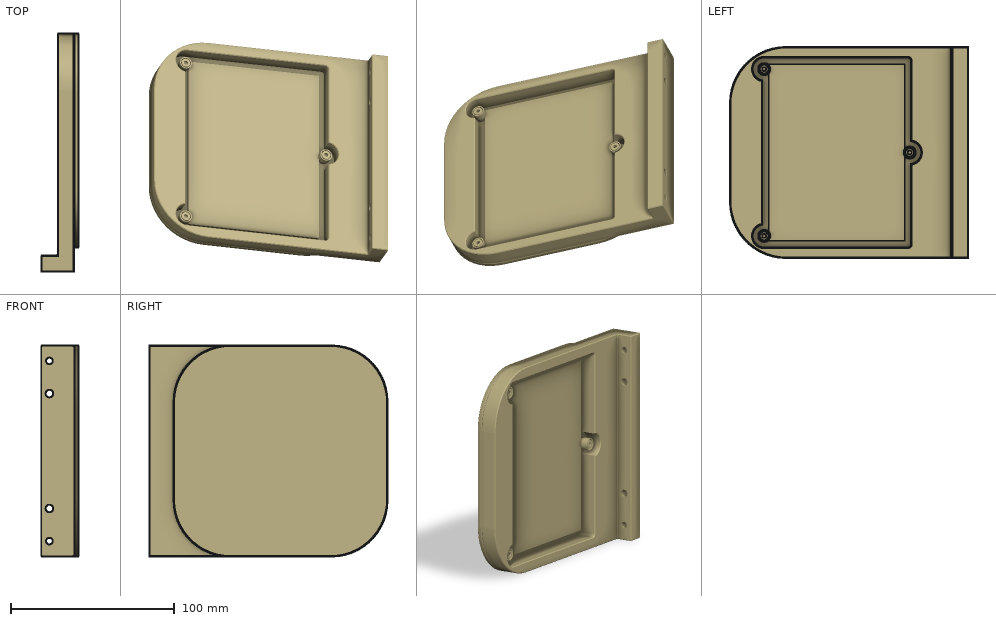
import cadquery as cq

LENGTH = 145.5
WIDTH = 129.0
THICKNESS = 23.0
FOOT_DEPTH = 20.1
FRAME_THICKNESS = 10.0
FOOT_HEIGHT = 10.0
CORNER_RADIUS = 34.5
EDGE_CHAMFER = 0.5

COVER_START_Y = 14.7

WINDOW_BOTTOM = 34.9
WINDOW_TOP = 125.5
WINDOW_HALF_WIDTH = 57.9
WINDOW_CORNER_RADIUS = 2.0
LOBE_RADIUS = 7.0

PANEL_MARGIN = 4.0
PANEL_THICKNESS = 2.5

LOWER_SCREW_Y = 35.6
UPPER_SCREW_Y = 124.5
SLEEVE_HEAD_DIAMETER = 7.4
SLEEVE_HEAD_LENGTH = 4.5
SLEEVE_SHANK_DIAMETER = 6.4
COUNTERBORE_DIAMETER = 6.3
SCREW_HEAD_DIAMETER = 5.2
SCREW_HEAD_LENGTH = 3.0
SCREW_SHANK_DIAMETER = 3.0
SOCKET_DIAMETER = 2.5
SOCKET_DEPTH = 2.0

FOOT_HOLE_X = FRAME_THICKNESS / 2
OUTER_HOLE_Z = 55.0
OUTER_HOLE_DIAMETER = 4.0
INNER_HOLE_Z = 35.0
INNER_HOLE_DIAMETER = 4.5

PANEL_FRONT_X = FOOT_DEPTH - PANEL_THICKNESS
SLEEVE_FRONT_X = PANEL_FRONT_X - SLEEVE_HEAD_LENGTH
SCREW_SHOULDER_X = SLEEVE_FRONT_X + SCREW_HEAD_LENGTH
FRAME_FRONT_X = FOOT_DEPTH - FRAME_THICKNESS
UPPER_SCREW_Z = WINDOW_HALF_WIDTH - LOBE_RADIUS
SCREW_PLACES = [
    (LOWER_SCREW_Y, 0),
    (UPPER_SCREW_Y, UPPER_SCREW_Z),
    (UPPER_SCREW_Y, -UPPER_SCREW_Z),
]


def block(x_start, x_end, y_start, y_end, width):
    """Box between two X and two Y places, centred on Z = 0."""
    return (
        cq.Workplane("XY")
        .box(x_end - x_start, y_end - y_start, width, centered=(False, False, True))
        .translate((x_start, y_start, 0))
    )


def rods(places, x_start, x_end, diameter):
    """Cylinders along X at the given (Y, Z) places."""
    return (
        cq.Workplane("YZ", origin=(x_start, 0, 0))
        .pushPoints(places)
        .circle(diameter / 2)
        .extrude(x_end - x_start)
    )


def make_window():
    """Through opening of the frame, with a lobe at each screw."""
    opening = block(FRAME_FRONT_X, FOOT_DEPTH, WINDOW_BOTTOM, WINDOW_TOP, 2 * WINDOW_HALF_WIDTH)
    opening = opening.edges("|X and <Y").fillet(WINDOW_CORNER_RADIUS)
    opening = opening.union(rods(SCREW_PLACES, FRAME_FRONT_X, FOOT_DEPTH, 2 * LOBE_RADIUS))
    return opening


def make_plate():
    """Plate with two round corners and the window; its rims are chamfered, except at the foot."""
    plate = block(FRAME_FRONT_X, FOOT_DEPTH, 0, LENGTH, WIDTH)
    plate = plate.edges("|X and >Y").fillet(CORNER_RADIUS)
    plate = plate.faces(">X").edges("not <Y").chamfer(EDGE_CHAMFER)
    plate = plate.cut(make_window())
    return plate.faces("<X").edges("not <Y").chamfer(EDGE_CHAMFER)


def make_foot():
    """Foot block, chamfered everywhere but around its mounting face, with its mounting holes."""
    foot = block(0, FOOT_DEPTH, 0, FOOT_HEIGHT, WIDTH).edges("not <Y").chamfer(EDGE_CHAMFER)
    for hole_z, diameter in [(OUTER_HOLE_Z, OUTER_HOLE_DIAMETER), (INNER_HOLE_Z, INNER_HOLE_DIAMETER)]:
        holes = (
            cq.Workplane("XZ")
            .pushPoints([(FOOT_HOLE_X, hole_z), (FOOT_HOLE_X, -hole_z)])
            .circle(diameter / 2)
            .extrude(-FOOT_HEIGHT)
        )
        foot = foot.cut(holes)
    return foot


def make_corner_bevel():
    """Small bevel along the inner corner between the plate and the foot."""
    corner = (FRAME_FRONT_X, FOOT_HEIGHT)
    bevel_width = WIDTH - 2 * EDGE_CHAMFER
    return (
        cq.Workplane("XY", origin=(0, 0, -bevel_width / 2))
        .moveTo(*corner)
        .lineTo(corner[0] - EDGE_CHAMFER, corner[1])
        .lineTo(corner[0], corner[1] + EDGE_CHAMFER)
        .close()
        .extrude(bevel_width)
    )


def make_cover():
    cover = block(FOOT_DEPTH, THICKNESS, COVER_START_Y, LENGTH, WIDTH)
    return cover.edges("|X").fillet(CORNER_RADIUS).faces("<X or >X").edges().chamfer(EDGE_CHAMFER)


def make_panel():
    """Thin panel on the cover, notched around the sleeve shanks."""
    panel = block(
        PANEL_FRONT_X,
        FOOT_DEPTH,
        WINDOW_BOTTOM + PANEL_MARGIN,
        WINDOW_TOP - PANEL_MARGIN,
        2 * (WINDOW_HALF_WIDTH - PANEL_MARGIN),
    )
    return panel.cut(rods(SCREW_PLACES, PANEL_FRONT_X, FOOT_DEPTH, SLEEVE_SHANK_DIAMETER))


def make_sleeve(place):
    """Headed sleeve on the cover, counterbored for the screw head and bored for its shank."""
    head = rods([place], SLEEVE_FRONT_X, PANEL_FRONT_X, SLEEVE_HEAD_DIAMETER)
    shank = rods([place], PANEL_FRONT_X, FOOT_DEPTH, SLEEVE_SHANK_DIAMETER)
    counterbore = rods([place], SLEEVE_FRONT_X, SCREW_SHOULDER_X, COUNTERBORE_DIAMETER)
    bore = rods([place], SCREW_SHOULDER_X, FOOT_DEPTH, SCREW_SHANK_DIAMETER)
    return head.union(shank).cut(counterbore).cut(bore)


def make_screw(place):
    """Socket head screw, its head level with the sleeve and its shank ending at the cover."""
    head = rods([place], SLEEVE_FRONT_X, SCREW_SHOULDER_X, SCREW_HEAD_DIAMETER)
    shank = rods([place], SCREW_SHOULDER_X, FOOT_DEPTH, SCREW_SHANK_DIAMETER)
    socket = rods([place], SLEEVE_FRONT_X, SLEEVE_FRONT_X + SOCKET_DEPTH, SOCKET_DIAMETER)
    return head.union(shank).cut(socket)


frame = make_plate().union(make_foot()).union(make_corner_bevel())
cover = make_cover()
panel = make_panel()
sleeves = [make_sleeve(place) for place in SCREW_PLACES]
screws = [make_screw(place) for place in SCREW_PLACES]

result = cq.Compound.makeCompound(
    [frame.val(), cover.val(), panel.val()]
    + [sleeve.val() for sleeve in sleeves]
    + [screw.val() for screw in screws]
)